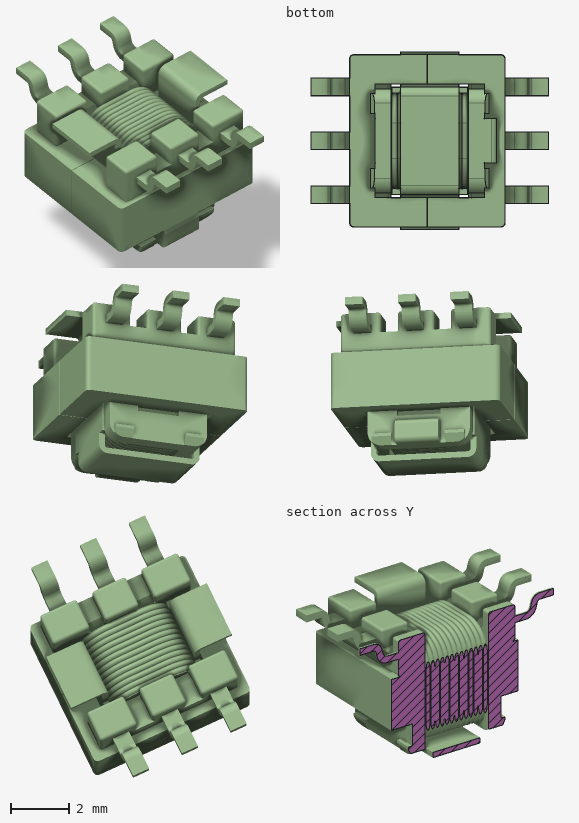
import cadquery as cq
import math


CORE_LENGTH = 5.34
CORE_WIDTH = 5.92
CORE_BOTTOM = 1.54
CORE_HEIGHT = 1.965
CORE_TOP = CORE_BOTTOM + CORE_HEIGHT
CORE_OFFSET = -0.08
CORE_CORNER = 0.16
CORE_GAP = 0.025
WINDOW_WIDTH = 3.895

FLANGE_INNER = 1.33
FLANGE_OUTER = 1.875
FLANGE_WIDTH = 3.57
FLANGE_BOTTOM = 0.32
FLANGE_CORNER = 0.49
RECESS_WIDTH = 1.515
RECESS_DROP = 0.19
RECESS_DEPTH = 0.16

BLOCK_OUTER = 2.45
BLOCK_TOP = 4.91
BLOCK_ROW_WIDTH = 5.23
MIDDLE_BLOCK_WIDTH = 1.26
BLOCK_SPACING = 0.595
BLOCK_FILLET = 0.1
GAP_FLOOR = 4.19
GAP_BEVEL = 0.33

HOOK_REACH = 0.16
HOOK_TIP_REACH = 0.025
HOOK_TOP = 0.72
HOOK_LIP = 0.11
HOOK_WIDTH = 0.68
HOOK_CENTRE = 1.28
TAB_REACH = 0.41
TAB_HEIGHT = 0.8
TAB_WIDTH = RECESS_WIDTH
TAB_CORNER = 0.16

TURNS = 13
COIL_LENGTH = 2.61
WIRE = COIL_LENGTH / TURNS
COIL_WIDTH = 3.325
COIL_BOTTOM = 0.415
COIL_TOP = 4.43
COIL_CORNER = 1.06

CLIP_TOP = 5.05
CLIP_SPAN = 6.1
CLIP_BODY_WIDTH = 3.68
CLIP_SHEET = 0.2
CLIP_BEND = 0.3
CLIP_STRAP = 2.0
CLIP_PLATE = 2.61
PLATE_BOTTOM = 0.71
PLATE_TOP = 3.71

LEAD_SPAN = 8.15
LEAD_SHEET = 0.27
LEAD_WIDTH = 0.61
LEAD_PITCH = 1.85
LEAD_TOP = 5.05
LEAD_FOOT_LENGTH = 0.59
LEAD_EXIT_TOP = 4.45
LEAD_EXIT_BEND_X = 2.9
LEAD_EMBED = 0.16
FOOT_BEND = 0.36
EXIT_BEND = 0.195


def block(x_min, x_max, y_min, y_max, z_min, z_max):
    """Box given by its limits on each axis."""
    size = (x_max - x_min, y_max - y_min, z_max - z_min)
    return cq.Workplane("XY").box(*size, centered=False).translate((x_min, y_min, z_min))


def core():
    """Rounded rectangular ring whose two side legs are split by a thin gap."""
    ring = (
        cq.Workplane("XY", origin=(CORE_OFFSET, 0, CORE_BOTTOM))
        .rect(CORE_LENGTH, CORE_WIDTH)
        .extrude(CORE_HEIGHT)
        .edges("|Z")
        .fillet(CORE_CORNER)
    )
    half_window = WINDOW_WIDTH / 2
    window = block(-FLANGE_OUTER, FLANGE_OUTER, -half_window, half_window, CORE_BOTTOM, CORE_TOP)
    gap = (
        cq.Workplane("XY", origin=(CORE_OFFSET, 0, CORE_BOTTOM))
        .rect(CORE_GAP, CORE_WIDTH)
        .extrude(CORE_HEIGHT)
    )
    return ring.cut(window).cut(gap)


def flange_prism(x_start, length):
    """Flange outline, rounded at the foot, extruded along X."""
    height = GAP_FLOOR - FLANGE_BOTTOM
    return (
        cq.Workplane("YZ", origin=(x_start, 0, FLANGE_BOTTOM + height / 2))
        .rect(FLANGE_WIDTH, height)
        .extrude(length)
        .edges("|X and <Z")
        .fillet(FLANGE_CORNER)
    )


def hooks():
    """Pair of tapered hooks on the outer face of the +X flange."""
    profile = (
        cq.Workplane("XZ")
        .moveTo(FLANGE_OUTER, HOOK_TOP)
        .lineTo(FLANGE_OUTER + HOOK_REACH, HOOK_TOP)
        .lineTo(FLANGE_OUTER + HOOK_REACH, HOOK_TOP - HOOK_LIP)
        .lineTo(FLANGE_OUTER + HOOK_TIP_REACH, FLANGE_BOTTOM)
        .lineTo(FLANGE_OUTER, FLANGE_BOTTOM)
        .close()
        .extrude(HOOK_WIDTH / 2, both=True)
    )
    pair = profile.translate((0, HOOK_CENTRE, 0)).union(profile.translate((0, -HOOK_CENTRE, 0)))
    return pair.intersect(flange_prism(FLANGE_OUTER, HOOK_REACH))


def terminal_blocks():
    """Row of three rounded blocks on a common base, with bevelled gaps between them."""
    half_row = BLOCK_ROW_WIDTH / 2
    half_middle = MIDDLE_BLOCK_WIDTH / 2
    side_start = half_middle + BLOCK_SPACING
    row = (
        block(FLANGE_INNER, BLOCK_OUTER, -half_row, half_row, CORE_TOP, GAP_FLOOR)
        .edges("|Z or <Z")
        .fillet(BLOCK_FILLET)
    )
    bevel = (
        cq.Workplane("XZ")
        .moveTo(FLANGE_INNER, GAP_FLOOR)
        .lineTo(FLANGE_INNER + GAP_BEVEL, GAP_FLOOR)
        .lineTo(FLANGE_INNER, GAP_FLOOR - GAP_BEVEL)
        .close()
        .extrude(side_start, both=True)
    )
    row = row.union(flange_prism(FLANGE_INNER, FLANGE_OUTER - FLANGE_INNER)).cut(bevel)
    for y_min, y_max in (
        (-half_row, -side_start),
        (-half_middle, half_middle),
        (side_start, half_row),
    ):
        body = block(FLANGE_INNER, BLOCK_OUTER, y_min, y_max, CORE_TOP, BLOCK_TOP)
        row = row.union(body.edges().fillet(BLOCK_FILLET))
    return row


def bobbin_end():
    """+X end of the bobbin: flange, terminal blocks, hooks and the recess under the core."""
    recess = block(
        FLANGE_OUTER - RECESS_DEPTH,
        FLANGE_OUTER,
        -RECESS_WIDTH / 2,
        RECESS_WIDTH / 2,
        CORE_BOTTOM - RECESS_DROP,
        CORE_BOTTOM,
    )
    return terminal_blocks().union(hooks()).cut(recess)


def locating_tab():
    """Rounded tab at the foot of the +X flange."""
    tab = block(
        FLANGE_OUTER,
        FLANGE_OUTER + TAB_REACH,
        -TAB_WIDTH / 2,
        TAB_WIDTH / 2,
        FLANGE_BOTTOM,
        FLANGE_BOTTOM + TAB_HEIGHT,
    )
    return tab.edges("|Y and >X").fillet(TAB_CORNER)


def coil():
    """Round-wire turns laid side by side on a rounded rectangular former."""
    width = COIL_WIDTH - WIRE
    height = COIL_TOP - COIL_BOTTOM - WIRE
    corner = COIL_CORNER - WIRE / 2
    middle = (COIL_TOP + COIL_BOTTOM) / 2
    former = (
        cq.Workplane("YZ", origin=(-FLANGE_INNER, 0, middle))
        .rect(width, height)
        .extrude(2 * FLANGE_INNER)
        .edges("|X")
        .fillet(corner)
    )
    path = former.faces("<X").wires().val().translate(cq.Vector(FLANGE_INNER, 0, 0))
    start = path.startPoint()
    tangent = path.tangentAt(0)
    section = cq.Plane(origin=start, xDir=(1, 0, 0), normal=tangent)
    turn = cq.Workplane(section).circle(WIRE / 2).sweep(cq.Workplane(path))
    for index in range(TURNS):
        former = former.union(turn.translate(((index - (TURNS - 1) / 2) * WIRE, 0, 0)))
    return former


def clip():
    """Bent sheet clip: a U-shaped strap with outward flanges and wider side plates."""
    half_body = CLIP_BODY_WIDTH / 2
    half_span = CLIP_SPAN / 2
    inner_bend = CLIP_BEND - CLIP_SHEET
    inner_wall = half_body - CLIP_SHEET
    wall_top = CLIP_TOP - CLIP_BEND
    half_strap = CLIP_STRAP / 2
    strap = (
        block(-half_strap, half_strap, -half_body, half_body, 0, wall_top)
        .edges("|X and <Z")
        .fillet(CLIP_BEND)
    )
    cavity = (
        block(-half_strap, half_strap, -inner_wall, inner_wall, CLIP_SHEET, wall_top)
        .edges("|X and <Z")
        .fillet(inner_bend)
    )
    body = strap.cut(cavity)
    flange = (
        cq.Workplane("YZ", origin=(-half_strap, 0, 0))
        .moveTo(inner_wall, wall_top)
        .radiusArc((inner_wall + CLIP_BEND, CLIP_TOP), CLIP_BEND)
        .lineTo(half_span, CLIP_TOP)
        .lineTo(half_span, CLIP_TOP - CLIP_SHEET)
        .lineTo(half_body + inner_bend, CLIP_TOP - CLIP_SHEET)
        .radiusArc((half_body, wall_top), -inner_bend)
        .close()
        .extrude(CLIP_STRAP)
    )
    plate = block(
        -CLIP_PLATE / 2, CLIP_PLATE / 2, inner_wall, half_body, PLATE_BOTTOM, PLATE_TOP
    )
    side = flange.union(plate)
    return body.union(side).union(side.mirror("XZ"))


def lead():
    """+X gull-wing lead: the exit and the foot joined by two bends and a sloping web."""
    foot_x = LEAD_SPAN / 2 - LEAD_FOOT_LENGTH
    foot_z = LEAD_TOP - FOOT_BEND
    exit_z = LEAD_EXIT_TOP + EXIT_BEND
    run = foot_x - LEAD_EXIT_BEND_X
    drop = foot_z - exit_z
    distance = math.hypot(run, drop)
    web_angle = math.acos((FOOT_BEND + EXIT_BEND) / distance) - math.atan2(drop, run)
    across = (math.cos(web_angle), -math.sin(web_angle))

    def on_foot_bend(radius):
        return (foot_x - radius * across[0], foot_z - radius * across[1])

    def on_exit_bend(radius):
        return (LEAD_EXIT_BEND_X + radius * across[0], exit_z + radius * across[1])

    inner_foot_bend = FOOT_BEND - LEAD_SHEET
    outer_exit_bend = EXIT_BEND + LEAD_SHEET
    embedded_x = BLOCK_OUTER - LEAD_EMBED
    return (
        cq.Workplane("XZ")
        .moveTo(embedded_x, LEAD_EXIT_TOP)
        .lineTo(LEAD_EXIT_BEND_X, LEAD_EXIT_TOP)
        .radiusArc(on_exit_bend(EXIT_BEND), -EXIT_BEND)
        .lineTo(*on_foot_bend(FOOT_BEND))
        .radiusArc((foot_x, LEAD_TOP), FOOT_BEND)
        .lineTo(LEAD_SPAN / 2, LEAD_TOP)
        .lineTo(LEAD_SPAN / 2, LEAD_TOP - LEAD_SHEET)
        .lineTo(foot_x, LEAD_TOP - LEAD_SHEET)
        .radiusArc(on_foot_bend(inner_foot_bend), -inner_foot_bend)
        .lineTo(*on_exit_bend(outer_exit_bend))
        .radiusArc((LEAD_EXIT_BEND_X, LEAD_EXIT_TOP - LEAD_SHEET), outer_exit_bend)
        .lineTo(embedded_x, LEAD_EXIT_TOP - LEAD_SHEET)
        .close()
        .extrude(LEAD_WIDTH / 2, both=True)
    )


terminal_end = bobbin_end()
for row in (-1, 0, 1):
    terminal_end = terminal_end.union(lead().translate((0, row * LEAD_PITCH, 0)))

result = (
    core()
    .union(terminal_end)
    .union(terminal_end.mirror("YZ"))
    .union(locating_tab())
    .union(coil())
    .union(clip())
)